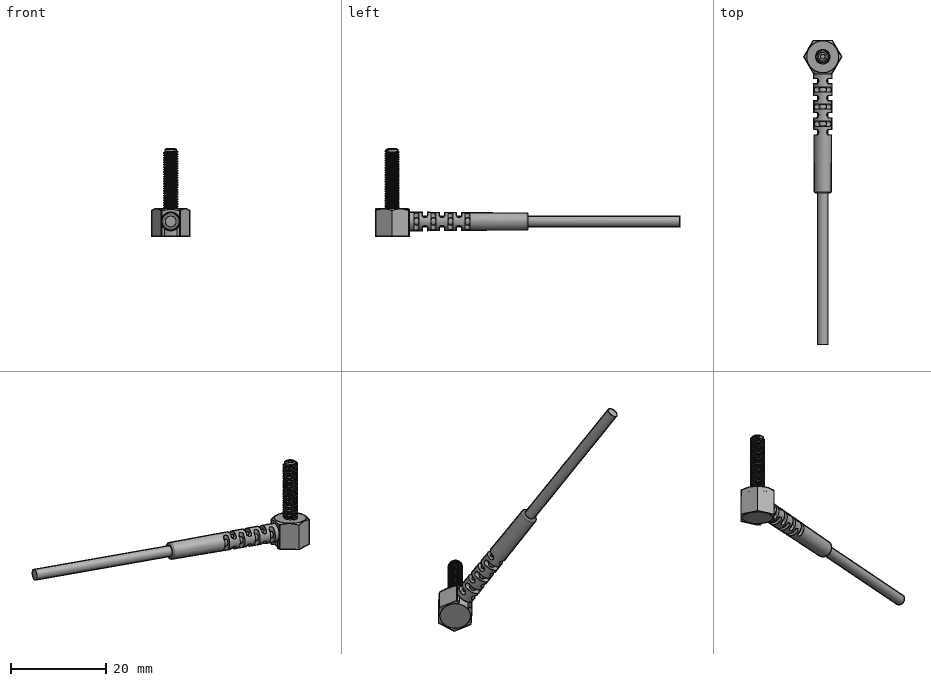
import cadquery as cq
import math


across_corners = 8.0
across_flats = across_corners * math.cos(math.pi / 6)
hex_height = 5.8
top_circle_radius = 3.36
hex_chamfer_angle = 30
pad_thickness = 0.2
pad_width = 3.65
bore_radius = 3.2
bore_depth = 4.85

total_height = 18.5
thread_radius = 1.505
thread_pitch = 0.5
thread_depth = 0.27
ridge_crest_width = 0.05
ridge_foot_width = 0.46
ridge_embedment = 0.05
tip_flat_radius = 0.9
tip_chamfer = 0.25
tip_hole_radius = 0.48
tip_hole_depth = 0.95

total_length = 64.0
cable_radius = 1.15
cable_height = 3.15
cable_embedment = 1.3

boot_end = 28.6
boot_base_radius = 2.0
boot_end_radius = 1.8
boot_end_fillet = 0.25
notch_width = 1.1
notch_floor = 0.8
notch_pitch = 3.6
side_notch_count = 4
first_side_notch = 5.1

core_radius = thread_radius - thread_depth
flat_distance = across_flats / 2
pad_face = flat_distance + pad_thickness
cable_end = total_length - flat_distance
cable_start = bore_radius - cable_embedment
slot_half_width = cable_radius + 0.1


def cylinder_along_cable(radius, start, end):
    """Cylinder on the cable axis between two distances from the stud axis."""
    plane = cq.Plane(origin=(0, -start, cable_height), xDir=(1, 0, 0), normal=(0, -1, 0))
    return cq.Workplane(plane).circle(radius).extrude(end - start)


def make_hex_block():
    """Hexagonal head with its pad and a conical chamfer around the top."""
    block = cq.Workplane("XY").polygon(6, across_corners).extrude(hex_height)
    pad = cq.Workplane("XY").box(pad_width, pad_face, hex_height, centered=(True, False, False))
    block = block.union(pad.translate((0, -pad_face, 0)))
    cone_radius = across_corners
    cone_drop = (cone_radius - top_circle_radius) * math.tan(math.radians(hex_chamfer_angle))
    envelope = (
        cq.Workplane("XZ")
        .moveTo(0, 0)
        .lineTo(cone_radius, 0)
        .lineTo(cone_radius, hex_height - cone_drop)
        .lineTo(top_circle_radius, hex_height)
        .lineTo(0, hex_height)
        .close()
        .revolve(360, (0, 0, 0), (0, 1, 0))
    )
    return block.intersect(envelope)


def make_thread_ridge():
    """Helical ridge that stands on the stud core; its foot sinks into the core and the hex head."""
    start = hex_height
    end = total_height - tip_chamfer - thread_pitch / 2
    path = cq.Wire.makeHelix(thread_pitch, end - start, thread_radius, cq.Vector(0, 0, start))
    foot_radius = core_radius - ridge_embedment
    return (
        cq.Workplane("XZ")
        .moveTo(foot_radius, start + ridge_foot_width / 2)
        .lineTo(thread_radius, start + ridge_crest_width / 2)
        .lineTo(thread_radius, start - ridge_crest_width / 2)
        .lineTo(foot_radius, start - ridge_foot_width / 2)
        .close()
        .sweep(cq.Workplane(obj=path), isFrenet=True)
    )


def make_stud():
    """Stud with a helical thread, a chamfered tip and a blind hole in the tip."""
    tip_chamfer_width = core_radius - tip_flat_radius
    core = (
        cq.Workplane("XY", origin=(0, 0, bore_depth))
        .circle(core_radius)
        .extrude(total_height - bore_depth)
        .faces(">Z")
        .chamfer(tip_chamfer, tip_chamfer_width)
    )
    hole = cq.Workplane("XY", origin=(0, 0, total_height - tip_hole_depth))
    hole = hole.circle(tip_hole_radius).extrude(tip_hole_depth)
    return core.cut(hole).union(make_thread_ridge(), clean=False)


def make_housing():
    """Hex head and stud in one piece, bored from below, with a cable slot open at the bottom."""
    bore = cq.Workplane("XY").circle(bore_radius).extrude(bore_depth)
    slot = cylinder_along_cable(slot_half_width, 0, pad_face)
    slot_sides = cq.Workplane("XY").box(
        2 * slot_half_width, pad_face, cable_height, centered=(True, False, False)
    )
    slot = slot.union(slot_sides.translate((0, -pad_face, 0)))
    return make_hex_block().cut(bore).cut(slot).union(make_stud(), clean=False)


def make_potting():
    """Round plug that fills the bore and holds the end of the cable."""
    plug = cq.Workplane("XY").circle(bore_radius).extrude(bore_depth)
    return plug.cut(cylinder_along_cable(cable_radius, cable_start, bore_radius))


def make_cable():
    return cylinder_along_cable(cable_radius, cable_start, cable_end)


def make_notch(distance, turn):
    """Round-bottomed notch cut into the boot from outside, turned about the cable axis."""
    notch_radius = notch_width / 2
    reach = 2 * boot_base_radius
    outline = (
        cq.Workplane("XY", origin=(0, -distance, cable_height))
        .moveTo(reach, notch_radius)
        .lineTo(notch_floor + notch_radius, notch_radius)
        .threePointArc((notch_floor, 0), (notch_floor + notch_radius, -notch_radius))
        .lineTo(reach, -notch_radius)
        .close()
    )
    notch = outline.extrude(reach, both=True)
    return notch.rotate((0, 0, cable_height), (0, 1, cable_height), turn)


def make_boot():
    """Tapered sleeve on the cable with notches on alternating pairs of sides."""
    plane = cq.Plane(origin=(0, 0, cable_height), xDir=(1, 0, 0), normal=(0, 0, 1))
    boot = (
        cq.Workplane(plane)
        .moveTo(0, -pad_face)
        .lineTo(boot_base_radius, -pad_face)
        .lineTo(boot_end_radius, -boot_end)
        .lineTo(0, -boot_end)
        .close()
        .revolve(360, (0, 0, 0), (0, 1, 0))
    )
    boot = boot.faces("<Y").edges().fillet(boot_end_fillet)
    boot = boot.cut(cylinder_along_cable(cable_radius, pad_face, boot_end))
    for index in range(2 * side_notch_count - 1):
        distance = first_side_notch + index * notch_pitch / 2
        first_turn = 90 * (index % 2)
        for turn in (first_turn, first_turn + 180):
            boot = boot.cut(make_notch(distance, turn))
    return boot


housing = make_housing()
potting = make_potting()
cable = make_cable()
boot = make_boot()

result = cq.Compound.makeCompound([housing.val(), potting.val(), cable.val(), boot.val()])